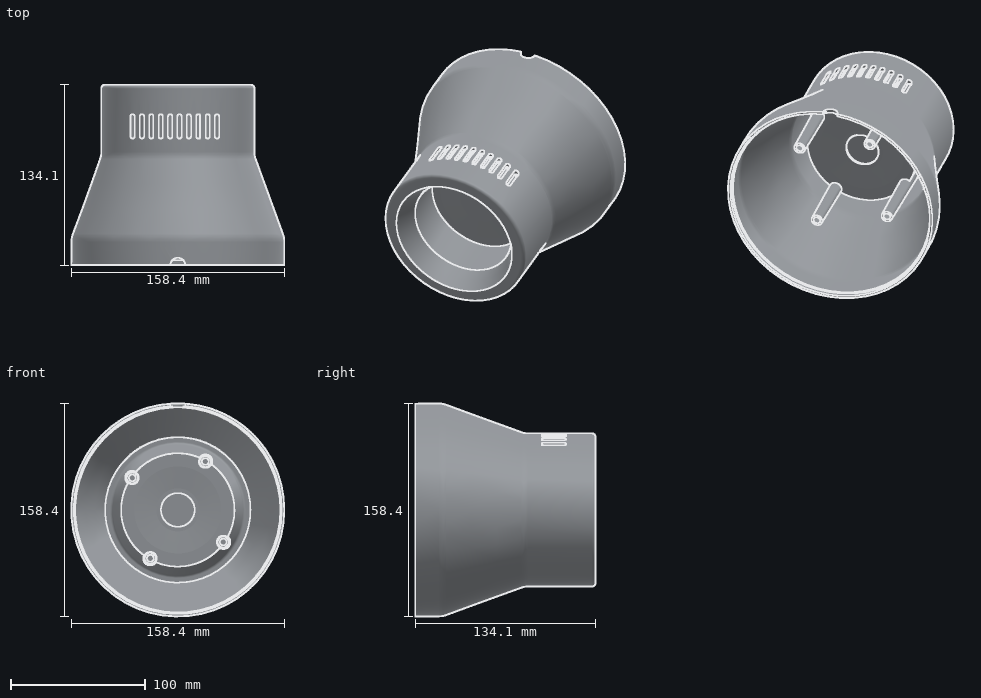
import cadquery as cq
import math

length = 134.1
mouth_radius = 79.2
neck_radius = 57.0
wall = 3.0
back_edge_fillet = 2.8

flank_angle = math.radians(20)
mouth_band = 17.7
mouth_bend = 15.0
neck_bend = 12.7

lip_radius = 77.3
lip_depth = 3.6

boss_radius = 42.1
boss_end_y = 83.6
flare_radius = 50.5
flare_fillet = 2.5
flare_slope = math.radians(64)
dish_radius = 32.3
dish_floor_radius = 16.0
dish_depth = 1.1
pocket_radius = 12.5
pocket_depth = 1.3

post_circle_radius = 41.3
post_angles = (60.4, 144.8, 240.4, 324.8)
post_tip_y = 34.7
post_tip_radius = 4.1
post_base_radius = 5.4
post_hole_radius = 2.5
post_hole_depth = 19.0

slot_count = 10
slot_pitch = 7.0
slot_width = 3.2
slot_length = 18.0
slot_center_x = -2.2
slot_center_y = 103.0
slot_start_z = 41.2

notch_radius = 5.5

mouth_bend_center = (mouth_radius - mouth_bend, mouth_band)
neck_bend_x = neck_radius + neck_bend
neck_bend_y = mouth_band + (
    mouth_bend + neck_bend - (neck_bend_x - mouth_bend_center[0]) * math.cos(flank_angle)
) / math.sin(flank_angle)
neck_bend_center = (neck_bend_x, neck_bend_y)
floor_y = length - wall


def polar(center, radius, angle):
    return (center[0] + radius * math.cos(angle), center[1] + radius * math.sin(angle))


def revolve_y(profile):
    return profile.close().revolve(360, (0, 0, 0), (0, 1, 0))


def hood_side(inset, end_y):
    """Half profile from the mouth to end_y, set inward from the outer skin."""
    r_mouth = mouth_bend - inset
    r_neck = neck_bend + inset
    return (
        cq.Workplane("XY")
        .lineTo(mouth_radius - inset, 0)
        .lineTo(mouth_radius - inset, mouth_band)
        .threePointArc(
            polar(mouth_bend_center, r_mouth, flank_angle / 2),
            polar(mouth_bend_center, r_mouth, flank_angle),
        )
        .lineTo(*polar(neck_bend_center, -r_neck, flank_angle))
        .threePointArc(
            polar(neck_bend_center, -r_neck, flank_angle / 2),
            polar(neck_bend_center, -r_neck, 0),
        )
        .lineTo(neck_radius - inset, end_y)
    )


flare_center = (flare_radius, floor_y - flare_fillet)
flare_end = polar(flare_center, flare_fillet, math.pi / 2 + flare_slope)
flare_middle = polar(flare_center, flare_fillet, (math.pi + flare_slope) / 2)
flare_top_y = flare_end[1] - (flare_end[0] - boss_radius) * math.tan(flare_slope)
dish_floor_y = boss_end_y + dish_depth


def make_shell():
    outer = revolve_y(hood_side(0, length).lineTo(0, length))
    outer = outer.faces(">Y").edges().fillet(back_edge_fillet)
    cavity = revolve_y(
        hood_side(wall, floor_y)
        .lineTo(flare_radius, floor_y)
        .threePointArc(flare_middle, flare_end)
        .lineTo(boss_radius, flare_top_y)
        .lineTo(boss_radius, boss_end_y)
        .lineTo(dish_radius, boss_end_y)
        .lineTo(dish_floor_radius, dish_floor_y)
        .lineTo(pocket_radius, dish_floor_y)
        .lineTo(pocket_radius, dish_floor_y + pocket_depth)
        .lineTo(0, dish_floor_y + pocket_depth)
    )
    lip = cq.Workplane("XZ").circle(lip_radius).extrude(-lip_depth)
    return outer.cut(cavity).cut(lip)


def make_back_recess():
    """Hollow behind the boss that leaves an even wall."""
    recess_radius = boss_radius - wall
    flare_start_y = flare_top_y + wall * math.tan((math.pi / 2 - flare_slope) / 2)
    flare_mouth_radius = recess_radius + (length - flare_start_y) / math.tan(flare_slope)
    return revolve_y(
        cq.Workplane("XY")
        .moveTo(0, length)
        .lineTo(flare_mouth_radius, length)
        .lineTo(recess_radius, flare_start_y)
        .lineTo(recess_radius, boss_end_y + wall)
        .lineTo(dish_radius, boss_end_y + wall)
        .lineTo(dish_floor_radius, dish_floor_y + wall)
        .lineTo(0, dish_floor_y + wall)
    )


def at_posts(solid):
    """Copies of a solid on the Y axis, moved to every post place."""
    copies = cq.Workplane("XY")
    for angle in post_angles:
        x, z = polar((0, 0), post_circle_radius, math.radians(angle))
        copies = copies.add(solid.translate((x, 0, z)))
    return copies.combine()


def make_posts():
    post = revolve_y(
        cq.Workplane("XY")
        .moveTo(0, post_tip_y)
        .lineTo(post_tip_radius, post_tip_y)
        .lineTo(post_base_radius, floor_y)
        .lineTo(0, floor_y)
    )
    hole = cq.Workplane("XZ", origin=(0, post_tip_y, 0)).circle(post_hole_radius).extrude(-post_hole_depth)
    return at_posts(post.cut(hole))


def make_vent_slots():
    return (
        cq.Workplane("XY", origin=(slot_center_x, slot_center_y, slot_start_z))
        .rarray(slot_pitch, 1.6, slot_count, 1)
        .slot2D(slot_length, slot_width, 90)
        .extrude(neck_radius - slot_start_z + wall)
    )


def make_cable_notch():
    return cq.Workplane("XY").circle(notch_radius).extrude(mouth_radius + wall)


result = (
    make_shell()
    .union(make_posts())
    .cut(make_back_recess())
    .cut(make_vent_slots())
    .cut(make_cable_notch())
)